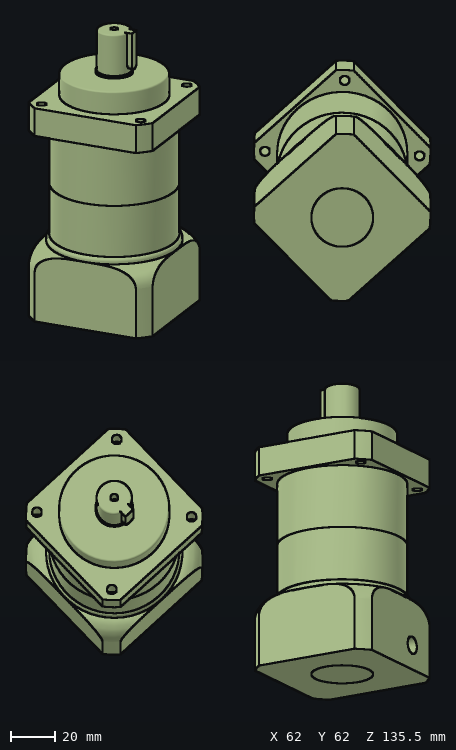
import cadquery as cq
import math

OVERALL_HEIGHT = 135.5
ADAPTER_SHOULDER_Z = 33.0
ADAPTER_TOP_Z = 36.0
HOUSING_SPLIT_Z = 60.8
FLANGE_BOTTOM_Z = 90.0
FLANGE_TOP_Z = 103.5
PILOT_TOP_Z = 114.5

SQUARE_WIDTH = 62.0
CORNER_DIAMETER = 80.0

SHOULDER_RADIUS = 9.0
COLLAR_DIAMETER = 61.8
COLLAR_ROUND = 2.0
ACCESS_HOLE_DIAMETER = 8.0
ACCESS_HOLE_Y = -10.0
ACCESS_HOLE_Z = 11.5

HUB_DIAMETER = 28.0

BODY_DIAMETER = 59.0
PILOT_DIAMETER = 50.0
PILOT_ROUND = 1.0
MOUNT_HOLE_DIAMETER = 4.3
MOUNT_CIRCLE_DIAMETER = 70.0

SHAFT_DIAMETER = 16.0
SHAFT_COLLAR_DIAMETER = 17.0
SHAFT_COLLAR_HEIGHT = 1.0
SHAFT_ROUND = 1.0
KEY_WIDTH = 5.0
KEY_BOTTOM_Z = 117.5
KEY_REACH = 10.0
CENTER_HOLE_DIAMETER = 3.3
CENTER_HOLE_DEPTH = 10.0
DRILL_POINT_ANGLE = 118.0


def cylinder(diameter, bottom, top):
    return cq.Workplane("XY").workplane(offset=bottom).circle(diameter / 2).extrude(top - bottom)


def square_bar(bottom, top):
    profile = cq.Workplane("XY").workplane(offset=bottom).rect(SQUARE_WIDTH, SQUARE_WIDTH)
    return profile.extrude(top - bottom)


def make_adapter():
    turned = cylinder(CORNER_DIAMETER, 0, ADAPTER_SHOULDER_Z).faces(">Z").edges().fillet(SHOULDER_RADIUS)
    block = turned.intersect(square_bar(0, ADAPTER_SHOULDER_Z))
    collar = cylinder(COLLAR_DIAMETER, ADAPTER_SHOULDER_Z, ADAPTER_TOP_Z)
    collar = collar.faces(">Z").edges().fillet(COLLAR_ROUND)
    hub_bore = cylinder(HUB_DIAMETER, 0, ADAPTER_TOP_Z)
    access_hole = (
        cq.Workplane("YZ", origin=(-SQUARE_WIDTH / 2, ACCESS_HOLE_Y, ACCESS_HOLE_Z))
        .circle(ACCESS_HOLE_DIAMETER / 2)
        .extrude(SQUARE_WIDTH / 2)
    )
    return block.union(collar).cut(hub_bore).cut(access_hole)


def make_clamp_hub():
    return cylinder(HUB_DIAMETER, 0, ADAPTER_TOP_Z)


def make_gear_ring():
    return cylinder(BODY_DIAMETER, ADAPTER_TOP_Z, HOUSING_SPLIT_Z)


def make_output_housing():
    body = cylinder(BODY_DIAMETER, HOUSING_SPLIT_Z, FLANGE_BOTTOM_Z)
    flange = cylinder(CORNER_DIAMETER, FLANGE_BOTTOM_Z, FLANGE_TOP_Z)
    flange = flange.intersect(square_bar(FLANGE_BOTTOM_Z, FLANGE_TOP_Z))
    mount_holes = (
        cq.Workplane("XY")
        .workplane(offset=FLANGE_BOTTOM_Z)
        .polarArray(MOUNT_CIRCLE_DIAMETER / 2, 45, 360, 4)
        .circle(MOUNT_HOLE_DIAMETER / 2)
        .extrude(FLANGE_TOP_Z - FLANGE_BOTTOM_Z)
    )
    pilot = cylinder(PILOT_DIAMETER, FLANGE_TOP_Z, PILOT_TOP_Z).faces(">Z").edges().fillet(PILOT_ROUND)
    return body.union(flange.cut(mount_holes)).union(pilot)


def make_key():
    round_center_z = KEY_BOTTOM_Z + KEY_WIDTH / 2
    return (
        cq.Workplane("YZ")
        .moveTo(-KEY_WIDTH / 2, OVERALL_HEIGHT)
        .lineTo(-KEY_WIDTH / 2, round_center_z)
        .threePointArc((0, KEY_BOTTOM_Z), (KEY_WIDTH / 2, round_center_z))
        .lineTo(KEY_WIDTH / 2, OVERALL_HEIGHT)
        .close()
        .extrude(KEY_REACH)
    )


def make_center_hole():
    radius = CENTER_HOLE_DIAMETER / 2
    hole_bottom = OVERALL_HEIGHT - CENTER_HOLE_DEPTH
    point_depth = radius / math.tan(math.radians(DRILL_POINT_ANGLE / 2))
    return (
        cq.Workplane("XZ")
        .moveTo(0, OVERALL_HEIGHT)
        .lineTo(radius, OVERALL_HEIGHT)
        .lineTo(radius, hole_bottom)
        .lineTo(0, hole_bottom - point_depth)
        .close()
        .revolve(360, (0, 0, 0), (0, 1, 0))
    )


def make_output_shaft():
    shaft = cylinder(SHAFT_DIAMETER, PILOT_TOP_Z, OVERALL_HEIGHT).faces(">Z").edges().fillet(SHAFT_ROUND)
    collar = cylinder(SHAFT_COLLAR_DIAMETER, PILOT_TOP_Z, PILOT_TOP_Z + SHAFT_COLLAR_HEIGHT)
    return shaft.union(collar).union(make_key()).cut(make_center_hole())


adapter = make_adapter()
clamp_hub = make_clamp_hub()
gear_ring = make_gear_ring()
output_housing = make_output_housing()
output_shaft = make_output_shaft()

result = cq.Compound.makeCompound(
    [adapter.val(), clamp_hub.val(), gear_ring.val(), output_housing.val(), output_shaft.val()]
)